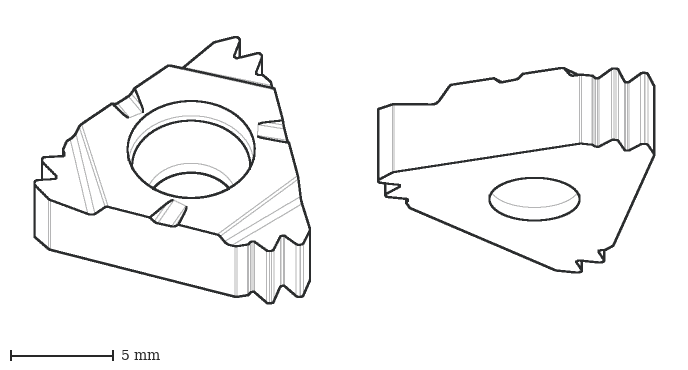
import cadquery as cq
import math

THICKNESS = 4.35
INSCRIBED_RADIUS = 9.525 / 2
CORNER_ANGLES = (0, 120, 240)
FLANK_TAN = math.tan(math.radians(60))

PITCH = 1.5
TOOTH_X = -4.06
TOOTH_APEX = 6.92
APEX_RISE = 0.11
OUTER_CREST_Y = 6.69
INNER_CREST_Y = 6.8
OUTER_ROOT_Y = 5.83
INNER_ROOT_Y = 5.91
INNER_ROOT_WIDTH = 0.16
SHOULDER_Y = 6.07
OUTER_CREST_ROUND = 0.2
INNER_CREST_ROUND = 0.15
ROOT_ROUND = 0.06
CORNER_ROUND = 0.2

RAKE_SLOPE = 0.15
SIDE_SLOPE = 0.082
FLOOR_DEPTH = 0.766
POCKET_WALL_X = 5.37
WALL_SKEW = 0.011
WALL_ANGLE = 58
POCKET_ROUND = 0.32
RIM_ROUND = 0.16
POCKET_REACH = 4.0

NOTCH_TIP = (-3.43, -0.56)
NOTCH_TURN = -14
NOTCH_DEPTH = 0.27
NOTCH_FLOOR_WIDTH = 0.9
NOTCH_SIDE_ANGLE = 45
NOTCH_ROUND = 0.25

BORE_RADIUS = 2.2
SEAT_MOUTH_RADIUS = 3.1
SEAT_RADIUS = 3.05
SEAT_DEPTH = 1.05
SEAT_ROUND = 0.17
BORE_HEIGHT = 0.72


def turned(point, angle):
    """Rotate a plan point about the hole axis."""
    a = math.radians(angle)
    x, y = point
    return (x * math.cos(a) - y * math.sin(a), x * math.sin(a) + y * math.cos(a))


def flank_x(tooth_x, apex_y, y, side):
    """X of a tooth flank at height y; side is -1 for left and +1 for right."""
    return tooth_x + side * (apex_y - y) / FLANK_TAN


def comb_points():
    """Comb corners as (point, rounding radius), running left to right."""
    outer_x = TOOTH_X
    inner_x = outer_x + PITCH
    inner_apex = TOOTH_APEX + APEX_RISE
    root_x = flank_x(inner_x, inner_apex, INNER_ROOT_Y, 1)
    shoulder_x = root_x + INNER_ROOT_WIDTH + SHOULDER_Y - INNER_ROOT_Y
    edge_x = 2 * INSCRIBED_RADIUS - FLANK_TAN * SHOULDER_Y
    corner_y = TOOTH_APEX - (outer_x + INSCRIBED_RADIUS) * FLANK_TAN

    def flank(tooth_x, apex_y, y, side):
        return (flank_x(tooth_x, apex_y, y, side), y)

    return [
        ((-INSCRIBED_RADIUS, corner_y), CORNER_ROUND),
        (flank(outer_x, TOOTH_APEX, OUTER_CREST_Y, -1), OUTER_CREST_ROUND),
        (flank(outer_x, TOOTH_APEX, OUTER_CREST_Y, 1), OUTER_CREST_ROUND),
        (flank(outer_x, TOOTH_APEX, OUTER_ROOT_Y, 1), ROOT_ROUND),
        (flank(inner_x, inner_apex, OUTER_ROOT_Y, -1), ROOT_ROUND),
        (flank(inner_x, inner_apex, INNER_CREST_Y, -1), INNER_CREST_ROUND),
        (flank(inner_x, inner_apex, INNER_CREST_Y, 1), INNER_CREST_ROUND),
        ((root_x, INNER_ROOT_Y), ROOT_ROUND),
        ((root_x + INNER_ROOT_WIDTH, INNER_ROOT_Y), ROOT_ROUND),
        ((shoulder_x, SHOULDER_Y), ROOT_ROUND),
        ((edge_x, SHOULDER_Y), CORNER_ROUND),
    ]


def make_plate():
    comb = comb_points()
    outline = [turned(point, -angle) for angle in CORNER_ANGLES for point, _ in comb]
    plate = cq.Workplane("XY").polyline(outline).close().extrude(THICKNESS)
    for radius in sorted({radius for _, radius in comb}):
        edges = []
        for angle in CORNER_ANGLES:
            for point, point_radius in comb:
                if point_radius == radius:
                    middle = turned(point, angle) + (THICKNESS / 2,)
                    edges += plate.edges("|Z").edges(cq.NearestToPointSelector(middle)).vals()
        plate = plate.newObject(edges).fillet(radius)
    return plate


def make_pocket_cutter():
    """Floor and wall profile extruded along the sloping line where the two meet."""
    origin = cq.Vector(POCKET_WALL_X, 0, THICKNESS - FLOOR_DEPTH)
    plane = cq.Plane(origin=origin, xDir=(1, -WALL_SKEW, 0), normal=(-WALL_SKEW, -1, SIDE_SLOPE))
    wall_x = -POCKET_REACH / math.tan(math.radians(WALL_ANGLE))
    profile = [
        (0, 0),
        (POCKET_REACH, RAKE_SLOPE * POCKET_REACH),
        (POCKET_REACH, POCKET_REACH),
        (wall_x, POCKET_REACH),
    ]
    cutter = cq.Workplane(plane).polyline(profile).close().extrude(POCKET_REACH, both=True)
    return cutter.edges(cq.NearestToPointSelector(origin.toTuple())).fillet(POCKET_ROUND)


def cut_pockets(body):
    cutter = make_pocket_cutter()
    for angle in CORNER_ANGLES:
        body = body.cut(cutter.rotate((0, 0, 0), (0, 0, 1), angle))
    rim_x = POCKET_WALL_X - FLOOR_DEPTH / math.tan(math.radians(WALL_ANGLE))
    rims = []
    for angle in CORNER_ANGLES:
        rim = turned((rim_x, 0), angle) + (THICKNESS,)
        rims += body.faces(">Z").edges(cq.NearestToPointSelector(rim)).vals()
    return body.newObject(rims).fillet(RIM_ROUND)


def make_notch_cutter():
    """Flat-bottomed trough that deepens outwards from the top face."""
    axis = turned((-1, 0), NOTCH_TURN)
    run = (INSCRIBED_RADIUS + NOTCH_TIP[0]) / -axis[0]
    slope = NOTCH_DEPTH / run
    plane = cq.Plane(
        origin=NOTCH_TIP + (THICKNESS,),
        xDir=turned(axis, 90) + (0,),
        normal=axis + (-slope,),
    )
    half = NOTCH_FLOOR_WIDTH / 2
    height = 2 * NOTCH_DEPTH
    spread = height / math.tan(math.radians(NOTCH_SIDE_ANGLE))
    profile = [(-half, 0), (half, 0), (half + spread, height), (-half - spread, height)]
    cutter = cq.Workplane(plane).polyline(profile).close().extrude(2 * run)
    for side in (-half, half):
        floor_edge = plane.toWorldCoords((side, 0, run)).toTuple()
        cutter = cutter.edges(cq.NearestToPointSelector(floor_edge)).fillet(NOTCH_ROUND)
    return cutter


def make_hole_cutter():
    wall_z = THICKNESS - SEAT_DEPTH
    floor_z = wall_z - SEAT_ROUND
    lip_radius = SEAT_RADIUS - SEAT_ROUND
    diagonal = SEAT_ROUND * math.sqrt(0.5)
    round_middle = (lip_radius + diagonal, wall_z - diagonal)
    return (
        cq.Workplane("XZ")
        .moveTo(0, 0)
        .lineTo(BORE_RADIUS, 0)
        .lineTo(BORE_RADIUS, BORE_HEIGHT)
        .tangentArcPoint((lip_radius, floor_z), relative=False)
        .threePointArc(round_middle, (SEAT_RADIUS, wall_z))
        .lineTo(SEAT_MOUTH_RADIUS, THICKNESS)
        .lineTo(0, THICKNESS)
        .close()
        .revolve(360, (0, 0, 0), (0, 1, 0))
    )


body = cut_pockets(make_plate())
notch = make_notch_cutter()
for angle in CORNER_ANGLES:
    body = body.cut(notch.rotate((0, 0, 0), (0, 0, 1), angle))
result = body.cut(make_hole_cutter())